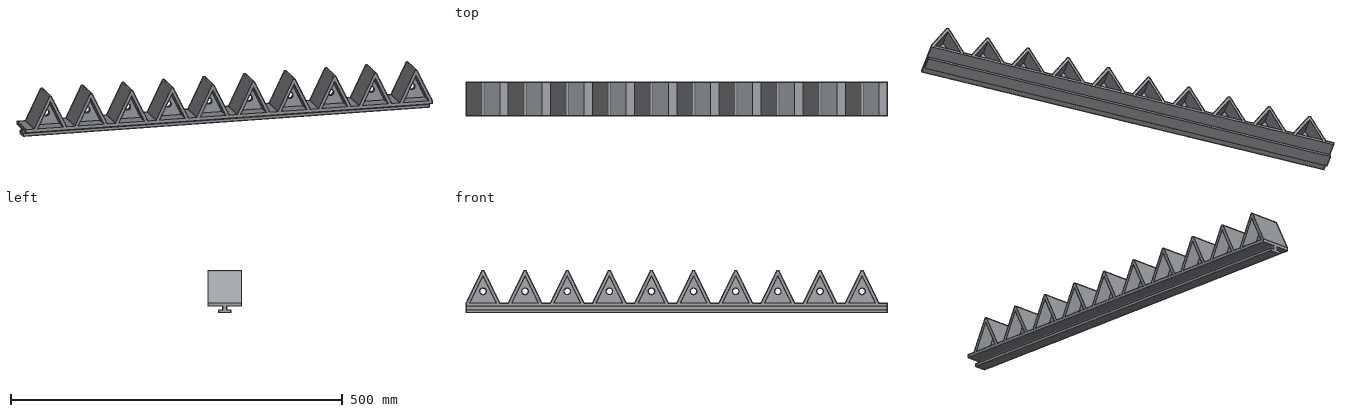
import cadquery as cq
import math

tooth_count = 10
pitch = 63.5
length = tooth_count * pitch
width = 50.8
total_height = 63.81
wall = 4.7625

foot_width = 18.8
foot_thickness = 4.3
stem_width = 6.15
stem_height = 5.5
stem_fillet = 0.75
plate_bottom = foot_thickness + stem_height
plate_top = plate_bottom + wall

half_base = 50.8 / 2
tooth_height = total_height - plate_top
ridge_radius = 2.075
ridge_center_height = tooth_height - ridge_radius

hole_diameter = 9.5
hole_height = 17.6

corner_to_ridge = math.hypot(half_base, ridge_center_height)
corner_angle = math.atan2(ridge_center_height, half_base)
normal_angle = math.acos(ridge_radius / corner_to_ridge) - corner_angle

cavity_half_base = half_base - wall / math.cos(normal_angle)
cavity_height = cavity_half_base / math.tan(normal_angle)


def bar(bar_width, bottom, thickness):
    """Full-length bar centred across the width."""
    return (
        cq.Workplane("XY", origin=(length / 2, 0, bottom))
        .rect(length, bar_width)
        .extrude(thickness)
    )


def rail():
    """Base plate on a T-shaped rail, with filleted inner corners along the stem."""
    foot = bar(foot_width, 0, foot_thickness)
    stem = bar(stem_width, foot_thickness, stem_height)
    plate = bar(width, plate_bottom, wall)
    reach = stem_width / 2 + stem_fillet
    stem_corners = cq.selectors.BoxSelector(
        (0, -reach, foot_thickness - stem_fillet),
        (length, reach, plate_bottom + stem_fillet),
    )
    joined = foot.union(stem).union(plate)
    return joined.edges("|X").edges(stem_corners).fillet(stem_fillet)


def tooth_plane(depth):
    """XZ plane at the foot of a tooth, placed so that extruding by depth is centred on Y = 0."""
    return cq.Workplane("XZ", origin=(0, depth / 2, plate_top))


def cavity_prism(depth):
    """Triangular prism with the section of the tooth cavity."""
    return (
        tooth_plane(depth)
        .moveTo(-cavity_half_base, 0)
        .lineTo(cavity_half_base, 0)
        .lineTo(0, cavity_height)
        .close()
        .extrude(depth)
    )


def tooth():
    """Triangular tunnel with a rounded ridge and a drilled web across its middle."""
    tangent_x = ridge_radius * math.cos(normal_angle)
    tangent_height = ridge_center_height + ridge_radius * math.sin(normal_angle)
    body = (
        tooth_plane(width)
        .moveTo(-half_base, 0)
        .lineTo(half_base, 0)
        .lineTo(tangent_x, tangent_height)
        .threePointArc((0, tooth_height), (-tangent_x, tangent_height))
        .close()
        .extrude(width)
    )
    hole = tooth_plane(width).center(0, hole_height).circle(hole_diameter / 2).extrude(width)
    web = cavity_prism(wall).cut(hole)
    return body.cut(cavity_prism(width)).union(web)


result = rail()
single_tooth = tooth()
for index in range(tooth_count):
    result = result.union(single_tooth.translate((half_base + index * pitch, 0, 0)))